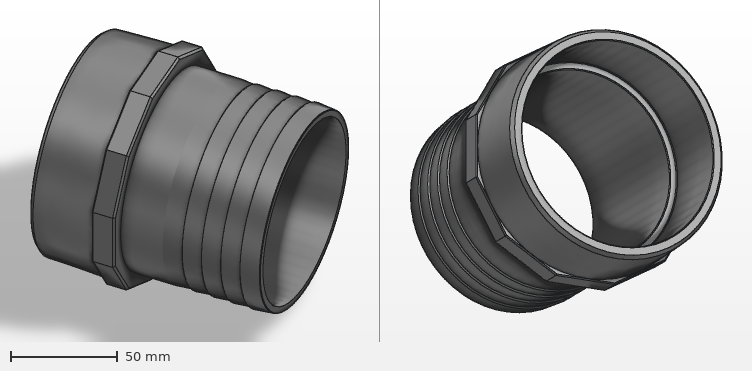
import cadquery as cq
import math

length = 116.0

thread_tip_radius = 54.3
thread_chamfer_end = 2.0
thread_start_radius = 55.9
thread_length = 30.4
neck_radius = 56.8

collar_sides = 12
collar_across_flats = 115.0
collar_start = 33.0
collar_end = 44.7
collar_front_chamfer = 0.6
collar_back_chamfer = 1.0

tail_radius = 50.7
barb_root_radius = 49.8
first_barb_start = 66.4
barb_count = 5
barb_step_width = 0.3
tail_end_chamfer = 0.3

entry_bore_radius = 50.2
entry_bore_depth = 37.1
entry_bore_chamfer = 0.5
through_bore_radius = 46.4
shoulder_chamfer = 0.5


def revolve_about_x(profile):
    return profile.close().revolve(360, (0, 0, 0), (1, 0, 0))


def make_body():
    profile = (
        cq.Workplane("XY")
        .lineTo(0, thread_tip_radius)
        .lineTo(thread_chamfer_end, thread_start_radius)
        .lineTo(thread_length, neck_radius)
        .lineTo(collar_start + collar_front_chamfer, neck_radius)
        .lineTo(collar_start + collar_front_chamfer, tail_radius)
    )
    barb_pitch = (length - first_barb_start) / barb_count
    for barb in range(barb_count):
        barb_start = first_barb_start + barb * barb_pitch
        barb_end = barb_start + barb_pitch
        profile = profile.lineTo(barb_start, tail_radius)
        if barb < barb_count - 1:
            profile = profile.lineTo(barb_end - barb_step_width, barb_root_radius)
    profile = (
        profile.lineTo(length - tail_end_chamfer, barb_root_radius)
        .lineTo(length, barb_root_radius - tail_end_chamfer)
        .lineTo(length, 0)
    )
    return revolve_about_x(profile)


def make_collar():
    corner_diameter = collar_across_flats / math.cos(math.pi / collar_sides)
    return (
        cq.Workplane("YZ", origin=(collar_start, 0, 0))
        .transformed(rotate=(0, 0, 180 / collar_sides))
        .polygon(collar_sides, corner_diameter)
        .extrude(collar_end - collar_start)
        .faces("<X")
        .chamfer(collar_front_chamfer)
        .faces(">X")
        .chamfer(collar_back_chamfer)
    )


def make_bore():
    profile = (
        cq.Workplane("XY")
        .lineTo(0, entry_bore_radius + entry_bore_chamfer)
        .lineTo(entry_bore_chamfer, entry_bore_radius)
        .lineTo(entry_bore_depth - shoulder_chamfer, entry_bore_radius)
        .lineTo(entry_bore_depth, entry_bore_radius - shoulder_chamfer)
        .lineTo(entry_bore_depth, through_bore_radius + shoulder_chamfer)
        .lineTo(entry_bore_depth + shoulder_chamfer, through_bore_radius)
        .lineTo(length, through_bore_radius)
        .lineTo(length, 0)
    )
    return revolve_about_x(profile)


result = make_body().union(make_collar()).cut(make_bore())